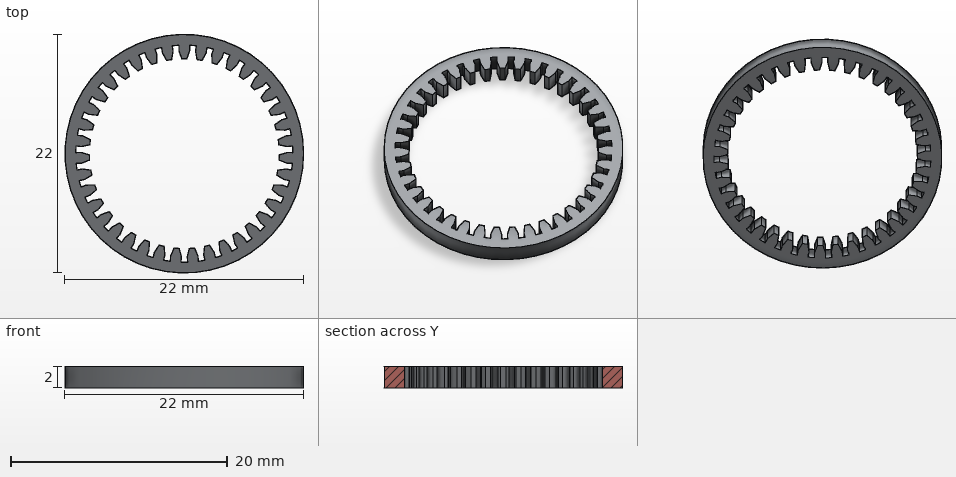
import cadquery as cq
import math

outer_diameter = 22.0
thickness = 2.0

tooth_count = 39
root_radius = 9.99
tip_radius = 8.73
shoulder_radius = 9.5
tip_width = 0.48
base_width = 1.01
first_tooth_angle = math.pi / 2
tooth_pitch = 2 * math.pi / tooth_count


def polar_point(radius, angle):
    return (radius * math.cos(angle), radius * math.sin(angle))


def half_angle(width, radius):
    """Angle between the tooth centre and a flank point at this radius."""
    return math.asin(width / 2 / radius)


def tooth_outline():
    """Closed inner outline of the ring, running anticlockwise tooth by tooth."""
    root_half = half_angle(base_width, root_radius)
    shoulder_half = half_angle(base_width, shoulder_radius)
    tip_half = half_angle(tip_width, tip_radius)

    outline = cq.Workplane("XY").moveTo(*polar_point(root_radius, first_tooth_angle - root_half))
    for index in range(tooth_count):
        center = first_tooth_angle + index * tooth_pitch
        outline = (
            outline
            .lineTo(*polar_point(shoulder_radius, center - shoulder_half))
            .lineTo(*polar_point(tip_radius, center - tip_half))
            .threePointArc(
                polar_point(tip_radius, center),
                polar_point(tip_radius, center + tip_half),
            )
            .lineTo(*polar_point(shoulder_radius, center + shoulder_half))
            .lineTo(*polar_point(root_radius, center + root_half))
            .threePointArc(
                polar_point(root_radius, center + tooth_pitch / 2),
                polar_point(root_radius, center + tooth_pitch - root_half),
            )
        )
    return outline.close()


disc = cq.Workplane("XY").circle(outer_diameter / 2).extrude(thickness)
toothed_opening = tooth_outline().extrude(thickness)

result = disc.cut(toothed_opening)